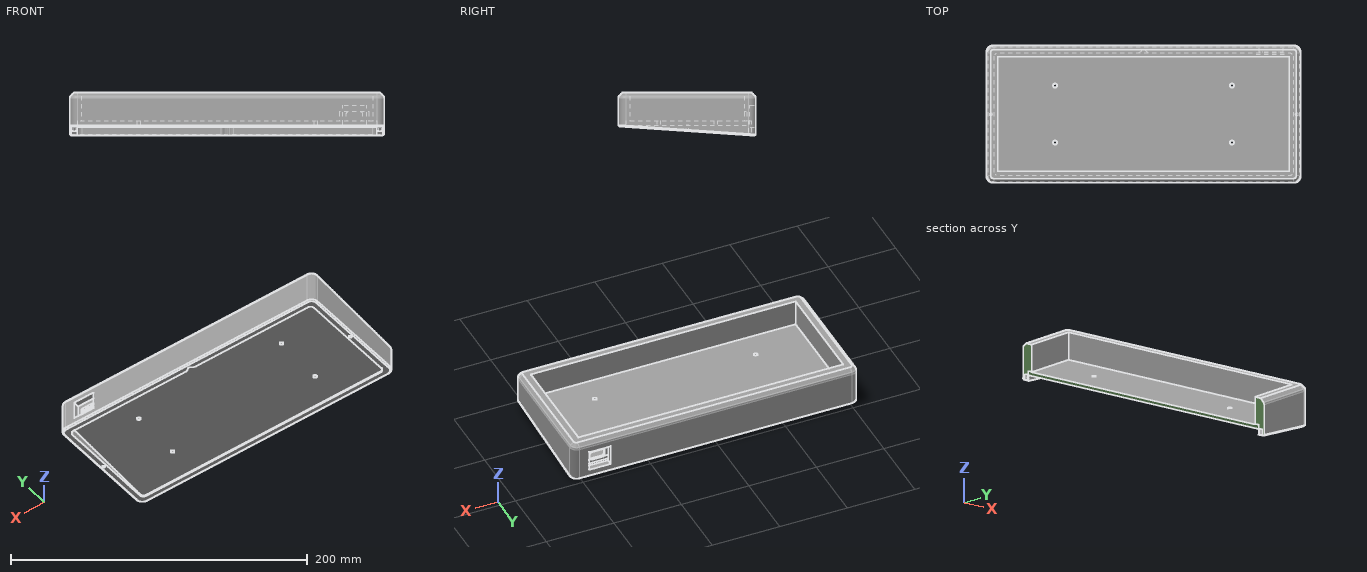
import cadquery as cq
import math

length = 212.0
width = 92.9
height = 29.3
tilt = 3.9
corner_radius = 5.0
top_chamfer = 3.0
top_blend_radius = 2.0
bottom_chamfer = 1.0

cavity_length = 196.0
cavity_width = 77.2
floor_z = 10.0

rim_width = 5.0
pocket_length = length - 2 * rim_width
pocket_width = width - 2 * rim_width
pocket_corner_radius = 3.0

notch_radius = 2.0
notch_blend_radius = 3.4
notch_angle = 53.0

plate_thickness = 3.0
plate_hole_diameter = 2.5
plate_hole_spacing_x = 119.1
plate_hole_spacing_y = 38.4

rim_hole_diameter = 2.0
rim_hole_depth = 4.2
rim_hole_inset = 3.0

port_x = 85.6
recess_length = 20.0
recess_height = 6.5
recess_depth = 1.7
slot_length = 11.0
slot_height = 6.4
slot_wall = 1.7
slot_corner_radius = 1.5
outer_recess_length = 16.1
outer_recess_height = 14.8
port_center_z = floor_z + recess_height / 2

tilt_angle = math.radians(tilt)
sharp_back_z = -bottom_chamfer * math.sin(tilt_angle)
sharp_front_z = sharp_back_z + width * math.tan(tilt_angle)


def make_shell():
    """Solid wedge with rounded corners, a blended top chamfer and a small bottom chamfer."""
    side = [
        (-width / 2, sharp_front_z),
        (width / 2, sharp_back_z),
        (width / 2, height),
        (-width / 2, height),
    ]
    wedge = cq.Workplane("YZ").polyline(side).close().extrude(length / 2, both=True)
    wedge = wedge.edges("|Z").fillet(corner_radius)
    wedge = wedge.faces("<Z").edges().chamfer(bottom_chamfer)
    wedge = wedge.faces(">Z").edges().chamfer(top_chamfer)
    blend_edge_z = height - top_chamfer
    margin = 0.02
    blend_edges = cq.selectors.BoxSelector(
        (-length, -width, blend_edge_z - margin),
        (length, width, blend_edge_z + margin),
    )
    return wedge.edges(blend_edges).fillet(top_blend_radius)


def make_cavity():
    """Opening through the top of the case, down to the floor plate."""
    return cq.Workplane("XY").workplane(offset=floor_z).rect(cavity_length, cavity_width).extrude(height)


def make_pocket():
    """Space below the floor level, open at the sloped underside."""
    pocket = cq.Workplane("XY").rect(pocket_length, pocket_width).extrude(floor_z, both=True)
    return pocket.edges("|Z").fillet(pocket_corner_radius)


def make_notch():
    """Finger notch: a concave arc that runs into the pocket wall through two convex arcs."""
    angle = math.radians(notch_angle)
    wall_y = pocket_width / 2
    tangent_x = notch_radius * math.sin(angle)
    tangent_y = wall_y + notch_blend_radius * (1 - math.cos(angle))
    tip_y = tangent_y + notch_radius * (1 - math.cos(angle))
    start_x = tangent_x + notch_blend_radius * math.sin(angle)
    blend_x = start_x - notch_blend_radius * math.sin(angle / 2)
    blend_y = wall_y + notch_blend_radius * (1 - math.cos(angle / 2))
    return (
        cq.Workplane("XY")
        .moveTo(-start_x, wall_y)
        .threePointArc((-blend_x, blend_y), (-tangent_x, tangent_y))
        .threePointArc((0, tip_y), (tangent_x, tangent_y))
        .threePointArc((blend_x, blend_y), (start_x, wall_y))
        .close()
        .extrude(floor_z)
    )


def port_block(block_length, block_height, start_y, end_y):
    """Box centred on the port axis, between two places along Y."""
    block = cq.Workplane("XY").box(block_length, end_y - start_y, block_height)
    return block.translate((port_x, (start_y + end_y) / 2, port_center_z))


def make_port():
    """Stepped opening through the back wall, narrowest at the slot."""
    inner_y = cavity_width / 2
    slot_start_y = inner_y + recess_depth
    slot_end_y = slot_start_y + slot_wall
    inner_recess = port_block(recess_length, recess_height, 0, slot_start_y)
    slot = port_block(slot_length, slot_height, inner_y, width)
    slot = slot.edges("|Y").fillet(slot_corner_radius)
    outer_recess = port_block(outer_recess_length, outer_recess_height, slot_end_y, width)
    return inner_recess.union(slot).union(outer_recess)


def make_rim_holes():
    """Vertical holes that start at the sloped underside."""
    hole_x = length / 2 - rim_hole_inset
    underside_z = (sharp_front_z + sharp_back_z) / 2
    return (
        cq.Workplane("XY")
        .pushPoints([(-hole_x, 0), (hole_x, 0)])
        .circle(rim_hole_diameter / 2)
        .extrude(underside_z + rim_hole_depth)
    )


def make_case():
    case = make_shell().cut(make_cavity()).cut(make_pocket())
    return case.cut(make_notch()).cut(make_port()).cut(make_rim_holes())


def make_floor_plate():
    """Flat plate that fills the top of the underside pocket and closes the cavity."""
    plate = cq.Workplane("XY").workplane(offset=floor_z - plate_thickness)
    plate = plate.rect(pocket_length, pocket_width).extrude(plate_thickness)
    plate = plate.edges("|Z").fillet(pocket_corner_radius)
    return (
        plate.faces(">Z").workplane()
        .rect(plate_hole_spacing_x, plate_hole_spacing_y, forConstruction=True)
        .vertices().hole(plate_hole_diameter)
    )


case = make_case()
floor_plate = make_floor_plate()
result = cq.Compound.makeCompound([case.val(), floor_plate.val()])